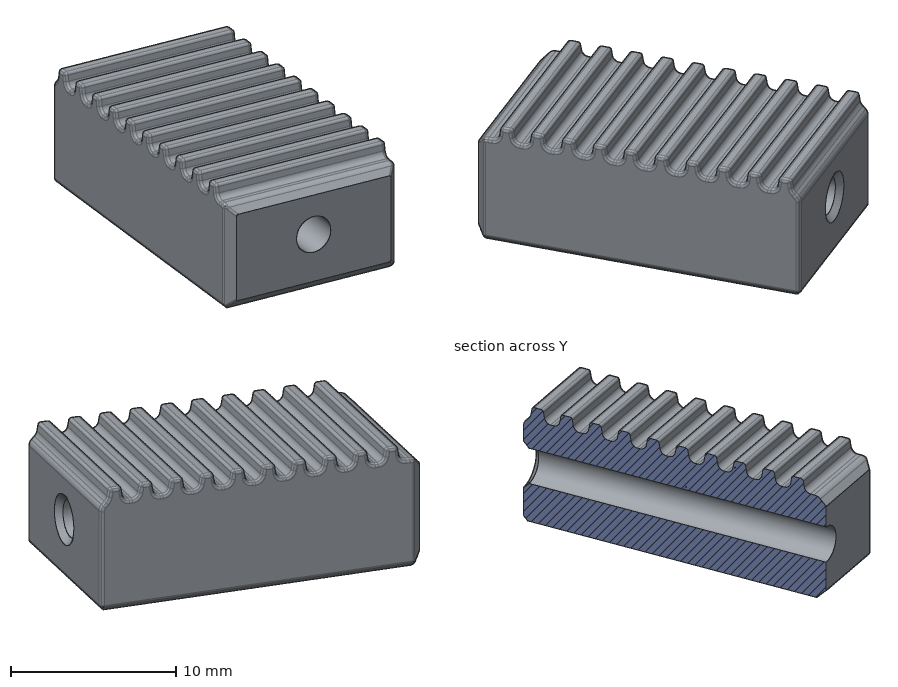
import cadquery as cq
import math

length = 21.0
width = 12.0
height = 7.95

pitch = 2.0
tooth_count = 10
first_tooth_x = pitch / 2
tooth_height = 0.9
flank_angle = math.radians(10)
tip_half_width = 0.39
root_radius = 0.42
tip_radius = 0.2

shoulder_angle = math.radians(45)
shoulder_root_radius = 0.6
shoulder_edge_radius = 0.55

base_bevel = 0.3
end_bevel = 0.58
end_base_bevel = 0.67
end_crest_radius = 0.6
end_ridge_radius = 0.18

rim_chamfer = 0.15
rim_radius = 0.24
edge_radius = 0.2

hole_diameter = 2.4
hole_z = 3.83
countersink_diameter = 3.2

half_width = width / 2
countersink_depth = (countersink_diameter - hole_diameter) / 2
tolerance = 0.001

valley_z = height - tooth_height
root_center_z = valley_z + root_radius
flank_end_z = root_center_z - root_radius * math.sin(flank_angle)
flank_end_half_width = tip_half_width + (height - flank_end_z) * math.tan(flank_angle)
root_half_flat = pitch / 2 - flank_end_half_width - root_radius * math.cos(flank_angle)


def arc_point(center, radius, angle):
    """Point on a circle in the XZ plane, at an angle measured from +X towards +Z."""
    return center[0] + radius * math.cos(angle), center[1] + radius * math.sin(angle)


def add_arc(sketch, center, radius, start, end):
    """Continue the outline along a circular arc from its start angle to its end angle."""
    middle = arc_point(center, radius, (start + end) / 2)
    return sketch.threePointArc(middle, arc_point(center, radius, end))


def add_shoulder(sketch):
    """Rise from the plain end face to the outer flank of the first tooth."""
    flank_x = first_tooth_x - flank_end_half_width
    root_center = (
        flank_x - shoulder_root_radius * math.cos(flank_angle),
        flank_end_z + shoulder_root_radius * math.sin(flank_angle),
    )
    slope_top = arc_point(root_center, shoulder_root_radius, -shoulder_angle)
    edge_center_x = shoulder_edge_radius
    slope_start_x = edge_center_x - shoulder_edge_radius * math.cos(shoulder_angle)
    slope_start_z = slope_top[1] - (slope_top[0] - slope_start_x) * math.tan(shoulder_angle)
    edge_center = (edge_center_x, slope_start_z - shoulder_edge_radius * math.sin(shoulder_angle))
    sketch = sketch.lineTo(0, edge_center[1])
    sketch = add_arc(sketch, edge_center, shoulder_edge_radius, math.pi, math.pi - shoulder_angle)
    sketch = sketch.lineTo(*slope_top)
    return add_arc(sketch, root_center, shoulder_root_radius, -shoulder_angle, -flank_angle)


def add_tooth_tip(sketch, tooth_x):
    """Climb one flank, cross the tip and descend the other flank."""
    sketch = sketch.lineTo(tooth_x - tip_half_width, height)
    sketch = sketch.lineTo(tooth_x + tip_half_width, height)
    return sketch.lineTo(tooth_x + flank_end_half_width, flank_end_z)


def add_root(sketch, root_x, has_next_tooth):
    """Rounded valley after a tooth; the last one runs out flat to the end bevel."""
    falling_center = (root_x - root_half_flat, root_center_z)
    sketch = add_arc(sketch, falling_center, root_radius, math.pi + flank_angle, 1.5 * math.pi)
    if not has_next_tooth:
        return sketch
    sketch = sketch.lineTo(root_x + root_half_flat, valley_z)
    rising_center = (root_x + root_half_flat, root_center_z)
    return add_arc(sketch, rising_center, root_radius, -math.pi / 2, -flank_angle)


def toothed_block():
    """Side outline with teeth, extruded over the full width."""
    sketch = cq.Workplane("XZ", origin=(0, half_width, 0))
    sketch = sketch.moveTo(base_bevel, 0).lineTo(0, base_bevel)
    sketch = add_shoulder(sketch)
    for index in range(tooth_count):
        tooth_x = first_tooth_x + index * pitch
        sketch = add_tooth_tip(sketch, tooth_x)
        sketch = add_root(sketch, tooth_x + pitch / 2, index < tooth_count - 1)
    sketch = (
        sketch.lineTo(length - end_bevel, valley_z)
        .lineTo(length, valley_z - end_bevel)
        .lineTo(length, end_base_bevel)
        .lineTo(length - end_base_bevel, 0)
        .close()
    )
    return sketch.extrude(width)


def crosswise_edges(body, x, z):
    """Edges running along Y at the given outline corner."""
    corner = cq.selectors.BoxSelector(
        (x - tolerance, -width, z - tolerance), (x + tolerance, width, z + tolerance)
    )
    return body.edges(corner)


def round_outline_corners(body):
    """Round the tooth tips, the crest of the end bevel and the top of the plain end's base bevel."""
    for index in range(tooth_count):
        tooth_x = first_tooth_x + index * pitch
        for tip_x in (tooth_x - tip_half_width, tooth_x + tip_half_width):
            body = crosswise_edges(body, tip_x, height).fillet(tip_radius)
    body = crosswise_edges(body, length - end_bevel, valley_z).fillet(end_crest_radius)
    return crosswise_edges(body, 0, base_bevel).fillet(edge_radius)


def soften_rims(body):
    """Chamfer the rim of both side faces, then round the outer and inner edges of that chamfer."""
    body = body.faces("<Y or >Y").edges().chamfer(rim_chamfer)
    for side in (-1, 1):
        rim_y = side * (half_width - rim_chamfer)
        rim_plane = cq.selectors.BoxSelector(
            (-length, rim_y - tolerance, -height), (2 * length, rim_y + tolerance, 2 * height)
        )
        body = body.edges(rim_plane).edges("#Y").fillet(rim_radius)
    return body.faces("<Y or >Y").edges().fillet(rim_radius)


def bevel_cutter(plane, place, run, depth, reach):
    """Wedge that bevels a side face, blending into it with a rounded edge.

    place maps (distance past the bevel's start, depth below the side face) to plane coordinates.
    """
    angle = math.atan2(depth, run)
    tangent = edge_radius * math.tan(angle / 2)
    middle = (edge_radius * math.sin(angle / 2) - tangent, edge_radius * (1 - math.cos(angle / 2)))
    blend_end = (tangent * math.cos(angle), tangent * math.sin(angle))
    return (
        cq.Workplane(plane)
        .moveTo(*place(-tangent, 0))
        .threePointArc(place(*middle), place(*blend_end))
        .lineTo(*place(run, depth))
        .lineTo(*place(run, 0))
        .close()
        .extrude(reach)
    )


def bevel_end(body):
    """Bevel both sides of the far end face."""
    for side in (-1, 1):

        def at_end(run, depth):
            return length - end_bevel + run, side * (half_width - depth)

        body = body.cut(bevel_cutter("XY", at_end, end_bevel, end_bevel, height))
    return body


def bevel_base(body):
    """Bevel both side faces along the base."""
    for side in (-1, 1):

        def at_base(run, depth):
            return side * (half_width - depth), base_bevel - run

        body = body.cut(bevel_cutter("YZ", at_base, base_bevel, base_bevel, length))
    return body


def round_end_ridges(body):
    """Round the four sloping ridges where the bevels around the far end face meet."""
    for side in (-1, 1):
        for corner_z in (end_base_bevel, valley_z - end_bevel):
            corner = (length, side * (half_width - end_bevel), corner_z)
            ridge = body.edges("not(|Y or |Z)").edges(cq.selectors.NearestToPointSelector(corner))
            body = ridge.fillet(end_ridge_radius)
    return body


def screw_hole():
    """Through hole along X with a countersink in the plain end face."""
    center = cq.Vector(0, 0, hole_z)
    along_x = cq.Vector(1, 0, 0)
    bore = cq.Solid.makeCylinder(hole_diameter / 2, length, center, along_x)
    countersink = cq.Solid.makeCone(
        countersink_diameter / 2, hole_diameter / 2, countersink_depth, center, along_x
    )
    return cq.Workplane(bore.fuse(countersink))


result = toothed_block()
result = round_outline_corners(result)
result = soften_rims(result)
result = bevel_end(result)
result = bevel_base(result)
result = round_end_ridges(result)
result = result.cut(screw_hole())